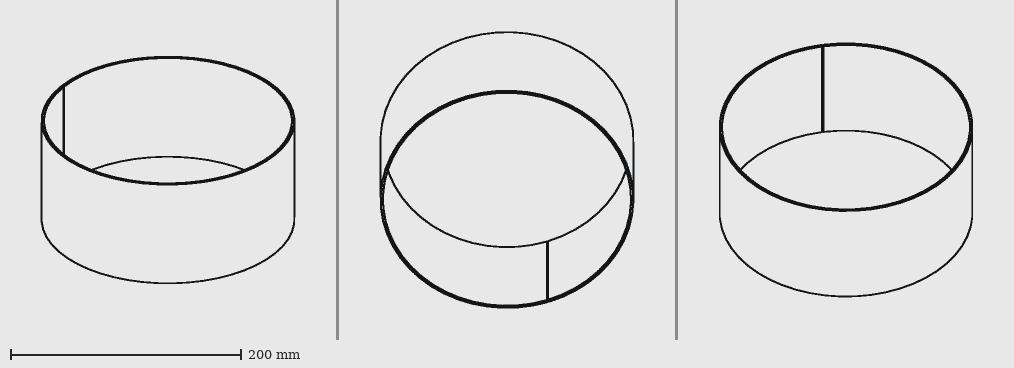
import cadquery as cq

outer_diameter = 220.0
wall = 2.5
height = 100.0
slit_width = 1.5
slit_offset = 0.9
edge_break = 0.5

outer_radius = outer_diameter / 2
inner_radius = outer_radius - wall

ring = (
    cq.Workplane("XY")
    .circle(outer_radius)
    .circle(inner_radius)
    .extrude(height)
    .faces("|Z")
    .edges()
    .chamfer(edge_break)
)

slit_cutter = (
    cq.Workplane("XY")
    .center(-(outer_radius + inner_radius) / 2, slit_offset)
    .rect(2 * wall, slit_width)
    .extrude(height)
)

result = ring.cut(slit_cutter)